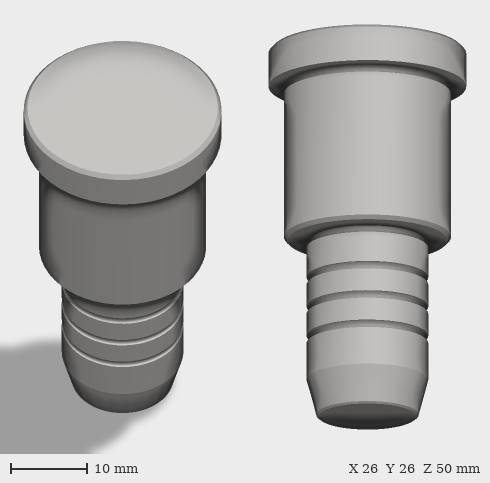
import cadquery as cq
import math

total_height = 50.0

head_radius = 13.0
head_height = 5.0
edge_chamfer = 0.5

body_radius = 11.0
body_bottom = 24.0

shank_radius = 8.0
neck_radius = 7.5
neck_height = 1.0

taper_height = 5.0
taper_angle = 15.0
tip_chamfer = 0.25

groove_radius = 0.5
shank_groove_pitch = 4.0
shank_groove_count = 3
lowest_groove_center = 10.5

head_bottom = total_height - head_height
tip_radius = shank_radius - taper_height * math.tan(math.radians(taper_angle))


def cylinder(radius, bottom, top):
    return cq.Workplane("XY").workplane(offset=bottom).circle(radius).extrude(top - bottom)


def groove(surface_radius, center_height):
    """Ring with a circular section centred on the surface of a cylinder."""
    return (
        cq.Workplane("XZ")
        .center(surface_radius, center_height)
        .circle(groove_radius)
        .revolve(360, (-surface_radius, 0), (-surface_radius, 1))
    )


head = cylinder(head_radius, head_bottom, total_height).faces(">Z").edges().chamfer(edge_chamfer)

body = cylinder(body_radius, body_bottom, head_bottom).faces("<Z").edges().chamfer(edge_chamfer)
body = body.cut(groove(body_radius, head_bottom - groove_radius))

neck_bottom = body_bottom - neck_height
tip = (
    cq.Workplane("XY")
    .circle(tip_radius)
    .workplane(offset=taper_height)
    .circle(shank_radius)
    .loft()
    .faces("<Z")
    .edges()
    .chamfer(tip_chamfer)
)
shank = tip.union(cylinder(shank_radius, taper_height, neck_bottom))
neck = cylinder(neck_radius, neck_bottom, body_bottom)

for index in range(shank_groove_count):
    center_height = lowest_groove_center + index * shank_groove_pitch
    shank = shank.cut(groove(shank_radius, center_height))

result = head.union(body).union(neck).union(shank)